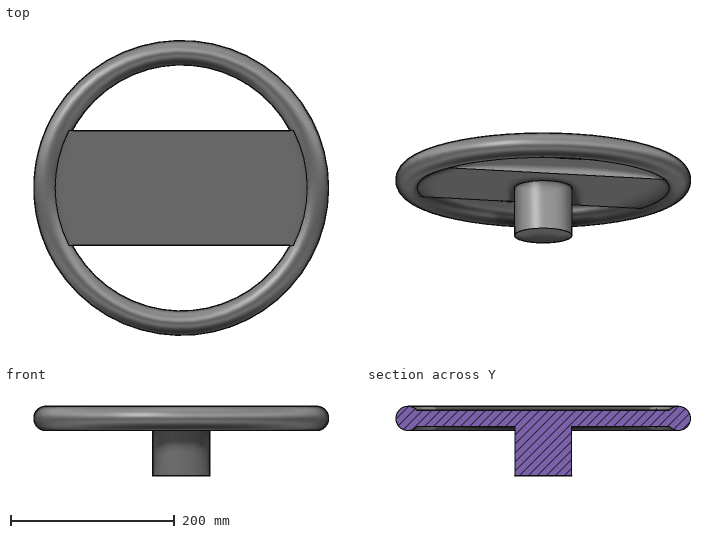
import cadquery as cq

outer_diameter = 360.0
grip_diameter = 30.0
plate_width = 140.0
plate_thickness = 20.0
hub_diameter = 70.0
overall_height = 85.0

grip_radius = grip_diameter / 2
rim_radius = outer_diameter / 2 - grip_radius
hub_bottom_z = grip_radius - overall_height


def make_rim():
    """Round grip swept once about the Z axis."""
    return (
        cq.Workplane("XZ")
        .center(rim_radius, 0)
        .circle(grip_radius)
        .revolve(360, (-rim_radius, 0), (-rim_radius, 1))
    )


def make_plate():
    """Flat crossbar along X whose rounded ends are buried in the rim."""
    disc = cq.Workplane("XY").circle(rim_radius).extrude(plate_thickness / 2, both=True)
    bar = cq.Workplane("XY").box(2 * rim_radius, plate_width, plate_thickness)
    return disc.intersect(bar)


def make_hub():
    """Solid round hub hanging down from the middle of the plate."""
    return (
        cq.Workplane("XY")
        .workplane(offset=hub_bottom_z)
        .circle(hub_diameter / 2)
        .extrude(-hub_bottom_z)
    )


result = make_rim().union(make_plate()).union(make_hub())